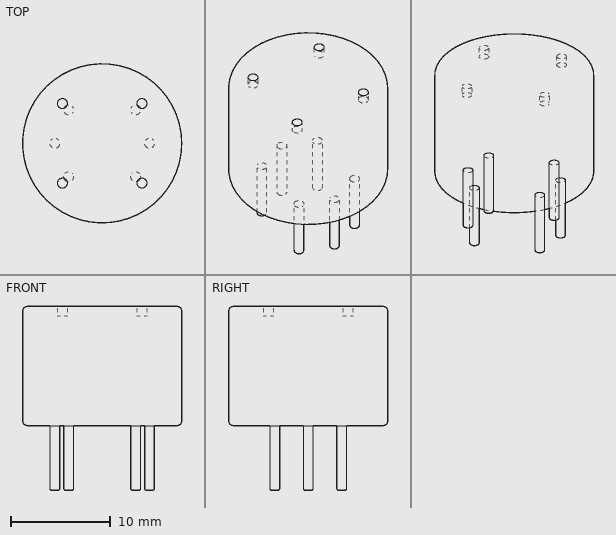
import cadquery as cq
import math

body_diameter = 16.0
body_height = 12.0
edge_radius = 0.5

pin_diameter = 1.0
pin_length = 6.5
pin_tip_radius = 0.2
pin_circle_radius = 4.75
pin_angles = [0, 45, 135, 180, 225, 315]

hole_diameter = 1.0
hole_spacing = 8.0
hole_depth = 1.0


def make_body():
    """Cylinder standing on Z = 0 with both rims rounded."""
    cylinder = cq.Workplane("XY").circle(body_diameter / 2).extrude(body_height)
    return cylinder.edges().fillet(edge_radius)


def make_pin(angle):
    """Pin hanging below the body at the given angle on the pin circle."""
    x = pin_circle_radius * math.cos(math.radians(angle))
    y = pin_circle_radius * math.sin(math.radians(angle))
    pin = cq.Workplane("XY").center(x, y).circle(pin_diameter / 2).extrude(-pin_length)
    return pin.faces("<Z").edges().fillet(pin_tip_radius)


def make_holes():
    """Cutters for the four holes, reaching down from the top face."""
    top = cq.Workplane("XY").workplane(offset=body_height)
    corners = top.rect(hole_spacing, hole_spacing, forConstruction=True).vertices()
    return corners.circle(hole_diameter / 2).extrude(-hole_depth)


result = make_body()
for pin_angle in pin_angles:
    result = result.union(make_pin(pin_angle))
result = result.cut(make_holes())